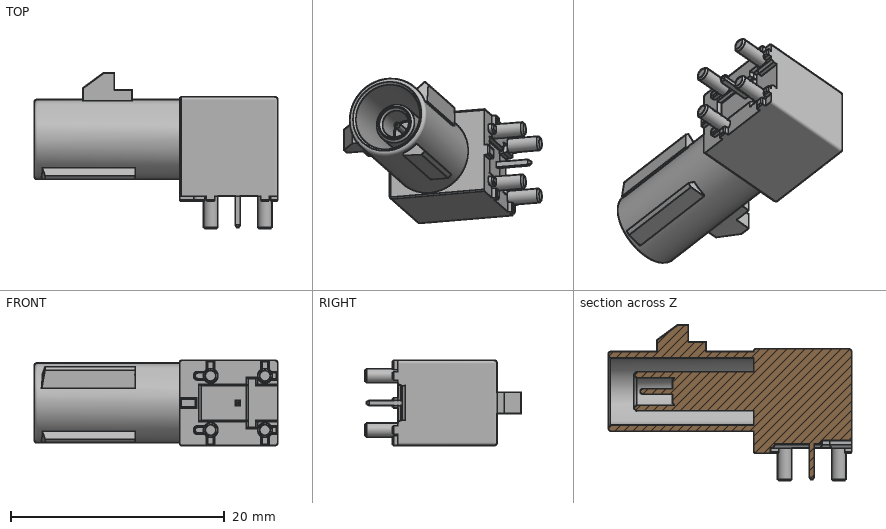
import cadquery as cq
import math


BLOCK_FRONT = 13.6
BLOCK_BACK = 22.8
BLOCK_HALF_HEIGHT = 4.0
BLOCK_TOP = 4.0
BOARD_FACE = -5.3
BLOCK_FILLET = 0.3
BLOCK_CHAMFER = 0.15

BARREL_RADIUS = 3.75
BORE_RADIUS = 3.13
MOUTH_FILLET = 0.3
MOUTH_CHAMFER = 0.22

TUBE_TIP = 2.4
TUBE_RADIUS = 1.85
TUBE_OUTER_CHAMFER = 0.25
TUBE_INNER_RADIUS = 1.28
TUBE_LEAD_IN_DEPTH = 0.28
TUBE_LEAD_IN_RADIUS = 1.5
INSULATOR_TIP = 6.0
INSULATOR_CHAMFER = 0.2
CONTACT_TIP = 3.0
CONTACT_RADIUS = 0.27
CONTACT_CHAMFER = 0.17

LATCH_WIDTH = 2.0
LATCH_FRONT = 4.55
LATCH_BACK = 9.17
LATCH_RIDGE_FRONT = 6.5
LATCH_RIDGE_BACK = 7.5
LATCH_FRONT_HEIGHT = 4.8
LATCH_STEP_HEIGHT = 4.65
LATCH_TIP = 6.23

KEY_FRONT = 0.76
KEY_BACK = 9.45
KEY_FRONT_SLOPE = 0.25
KEY_FLAT = 3.7
KEY_EDGE = 1.36
KEY_RADIUS = 4.78
KEY_ROOT_RADIUS = 3.4

PIN_PITCH = 5.08
PIN_CENTRE_X = 19.05
PIN_RADIUS = 0.675
PIN_END = -8.37
PIN_CHAMFER = 0.18
SIGNAL_PIN_SIZE = 0.5
SIGNAL_PIN_SHOULDER = -7.98
SIGNAL_PIN_END = -8.25
SIGNAL_PIN_TIP_SIZE = 0.15

RIB_HEIGHT = 0.5
RIB_WIDTH = 0.8
RIB_CHAMFER = 0.14
SLOT_RIB_REACH = 1.6
PAD_LENGTH = 1.6
PAD_WIDTH = 0.97

CHANNEL_FRONT = 15.4
CHANNEL_HALF_WIDTH = 1.77
CROSS_FRONT = 19.83
CROSS_BACK = 20.92
CROSS_HALF_WIDTH = 2.42
RECESS_SLOPE_DEPTH = 0.3
RECESS_SLOPE_X = 0.21
RECESS_SLOPE_Z = 0.15
SHALLOW_DEPTH = 0.4
DEEP_DEPTH = SHALLOW_DEPTH + RECESS_SLOPE_DEPTH

OVERRUN = 1.0


def box(x_range, y_range, z_range):
    """Axis-aligned box between the given coordinate pairs."""
    lows, highs = zip(*(sorted(r) for r in (x_range, y_range, z_range)))
    sizes = [high - low for low, high in zip(lows, highs)]
    return cq.Workplane("XY").box(*sizes, centered=False).translate(lows)


def turned(profile):
    """Solid of revolution about X from (x, radius) points."""
    return cq.Workplane("XY").polyline(profile).close().revolve(360, (0, 0, 0), (1, 0, 0))


def rod(start, end, radius):
    """Cylinder along X."""
    return cq.Workplane("YZ", origin=(start, 0, 0)).circle(radius).extrude(end - start)


def make_block():
    block = box(
        (BLOCK_FRONT, BLOCK_BACK),
        (BOARD_FACE, BLOCK_TOP),
        (-BLOCK_HALF_HEIGHT, BLOCK_HALF_HEIGHT),
    )
    block = block.edges("(>X and (not <Y)) or (|X and >Y)").fillet(BLOCK_FILLET)
    return block.faces("<X").edges("not <Y").chamfer(BLOCK_CHAMFER)


def make_barrel():
    barrel = rod(0, BLOCK_FRONT, BARREL_RADIUS)
    barrel = barrel.faces("<X").edges().fillet(MOUTH_FILLET)
    bore = turned([
        (0, 0),
        (0, BORE_RADIUS + MOUTH_CHAMFER),
        (MOUTH_CHAMFER, BORE_RADIUS),
        (BLOCK_FRONT, BORE_RADIUS),
        (BLOCK_FRONT, 0),
    ])
    return barrel.cut(bore)


def make_contacts():
    tube = rod(TUBE_TIP, BLOCK_FRONT, TUBE_RADIUS)
    tube = tube.faces("<X").edges().chamfer(TUBE_OUTER_CHAMFER)
    hole = turned([
        (TUBE_TIP, 0),
        (TUBE_TIP, TUBE_LEAD_IN_RADIUS),
        (TUBE_TIP + TUBE_LEAD_IN_DEPTH, TUBE_INNER_RADIUS),
        (BLOCK_FRONT, TUBE_INNER_RADIUS),
        (BLOCK_FRONT, 0),
    ])
    insulator = rod(INSULATOR_TIP, BLOCK_FRONT, TUBE_INNER_RADIUS)
    insulator = insulator.faces("<X").edges().chamfer(INSULATOR_CHAMFER)
    contact = rod(CONTACT_TIP, BLOCK_FRONT, CONTACT_RADIUS)
    contact = contact.faces("<X").edges().chamfer(CONTACT_CHAMFER)
    return tube.cut(hole).union(insulator).union(contact)


def make_latch():
    root = (BORE_RADIUS + BARREL_RADIUS) / 2
    profile = [
        (LATCH_FRONT, root),
        (LATCH_FRONT, LATCH_FRONT_HEIGHT),
        (LATCH_RIDGE_FRONT, LATCH_TIP),
        (LATCH_RIDGE_BACK, LATCH_TIP),
        (LATCH_RIDGE_BACK, LATCH_STEP_HEIGHT),
        (LATCH_BACK, LATCH_STEP_HEIGHT),
        (LATCH_BACK, root),
    ]
    return cq.Workplane("XY").polyline(profile).close().extrude(LATCH_WIDTH / 2, both=True)


def make_key():
    """Key on the 45 degree radius between -Y and +Z, with a sloping front end."""
    tip = KEY_RADIUS / math.sqrt(2)
    root = KEY_ROOT_RADIUS / math.sqrt(2)
    edge_root = math.sqrt(KEY_ROOT_RADIUS**2 - KEY_EDGE**2)
    section = [
        (-root, root),
        (-tip, tip),
        (-KEY_FLAT, 2 * tip - KEY_FLAT),
        (-KEY_FLAT, KEY_EDGE),
        (-edge_root, KEY_EDGE),
    ]
    bar = cq.Workplane("YZ").polyline(section).close().extrude(KEY_BACK)

    inner = BORE_RADIUS - OVERRUN
    outer = KEY_RADIUS + OVERRUN
    side = [
        (KEY_FRONT + KEY_FRONT_SLOPE * (inner - BARREL_RADIUS), -inner),
        (KEY_FRONT + KEY_FRONT_SLOPE * (outer - BARREL_RADIUS), -outer),
        (KEY_BACK, -outer),
        (KEY_BACK, -inner),
    ]
    envelope = cq.Workplane("XY").polyline(side).close().extrude(KEY_RADIUS, both=True)
    return bar.intersect(envelope.rotate((0, 0, 0), (1, 0, 0), -45))


def tapered_pocket(x_range, half_width, depth, open_back):
    """Rectangular pocket in the board face whose walls slope in below the mouth."""
    front, back = x_range
    inner_front = front + RECESS_SLOPE_X
    inner_back = back if open_back else back - RECESS_SLOPE_X
    inner_half = half_width - RECESS_SLOPE_Z
    slope_end = BOARD_FACE + RECESS_SLOPE_DEPTH

    def rectangle(x_low, x_high, half, y):
        corners = [(x_low, y, -half), (x_high, y, -half), (x_high, y, half), (x_low, y, half)]
        return cq.Wire.makePolygon([cq.Vector(*c) for c in corners], close=True)

    mouth = rectangle(front, back, half_width, BOARD_FACE)
    throat = rectangle(inner_front, inner_back, inner_half, slope_end)
    slope = cq.Workplane(obj=cq.Solid.makeLoft([mouth, throat], True))
    floor = box((inner_front, inner_back), (slope_end, BOARD_FACE + depth), (-inner_half, inner_half))
    return slope.union(floor)


def make_recess():
    past_back = BLOCK_BACK + OVERRUN
    channel = tapered_pocket((CHANNEL_FRONT, past_back), CHANNEL_HALF_WIDTH, SHALLOW_DEPTH, True)
    cross = tapered_pocket((CROSS_FRONT, CROSS_BACK), CROSS_HALF_WIDTH, DEEP_DEPTH, False)

    shallow_floor = BOARD_FACE + SHALLOW_DEPTH
    deep_floor = BOARD_FACE + DEEP_DEPTH
    step = [
        (CROSS_FRONT, shallow_floor),
        (CROSS_FRONT + RECESS_SLOPE_X, deep_floor),
        (past_back, deep_floor),
        (past_back, shallow_floor),
    ]
    deep_half_width = CHANNEL_HALF_WIDTH - RECESS_SLOPE_Z
    deep_end = cq.Workplane("XY").polyline(step).close().extrude(deep_half_width, both=True)
    return channel.union(cross).union(deep_end)


def make_rib(x_range, z_range):
    """Low rib on the board face with a chamfered top."""
    rib = box(x_range, (BOARD_FACE, BOARD_FACE - RIB_HEIGHT), z_range)
    return rib.faces("<Y").chamfer(RIB_CHAMFER)


def make_slot_rib(pin_x, pin_z):
    """Rib running from a pin toward the barrel, with a round end."""
    round_x = pin_x - SLOT_RIB_REACH + RIB_WIDTH / 2
    plane = cq.Workplane("XZ", origin=((round_x + pin_x) / 2, BOARD_FACE, pin_z))
    rib = plane.slot2D(pin_x - round_x + RIB_WIDTH, RIB_WIDTH).extrude(RIB_HEIGHT)
    return rib.faces("<Y").chamfer(RIB_CHAMFER)


def make_ground_pin(x, z):
    root = BOARD_FACE + DEEP_DEPTH
    pin = cq.Workplane("XZ", origin=(x, root, z)).circle(PIN_RADIUS).extrude(root - PIN_END)
    return pin.faces("<Y").chamfer(PIN_CHAMFER)


def make_signal_pin():
    root = BOARD_FACE + DEEP_DEPTH
    plane = cq.Workplane("XZ", origin=(PIN_CENTRE_X, root, 0))
    shaft = plane.rect(SIGNAL_PIN_SIZE, SIGNAL_PIN_SIZE).extrude(root - SIGNAL_PIN_SHOULDER)
    tip = (
        cq.Workplane("XZ", origin=(PIN_CENTRE_X, SIGNAL_PIN_SHOULDER, 0))
        .rect(SIGNAL_PIN_SIZE, SIGNAL_PIN_SIZE)
        .workplane(offset=SIGNAL_PIN_SHOULDER - SIGNAL_PIN_END)
        .rect(SIGNAL_PIN_TIP_SIZE, SIGNAL_PIN_TIP_SIZE)
        .loft(ruled=True)
    )
    return shaft.union(tip)


def make_board_features():
    """Pins and standoff ribs on the board face."""
    features = make_signal_pin()
    features = features.union(
        make_rib((BLOCK_FRONT, BLOCK_FRONT + PAD_LENGTH), (-PAD_WIDTH / 2, PAD_WIDTH / 2))
    )
    front_pin_x = PIN_CENTRE_X - PIN_PITCH / 2
    back_pin_x = PIN_CENTRE_X + PIN_PITCH / 2
    half_rib = RIB_WIDTH / 2
    for side in (-1, 1):
        pin_z = side * PIN_PITCH / 2
        for pin_x in (front_pin_x, back_pin_x):
            features = features.union(make_ground_pin(pin_x, pin_z))
            side_rib = make_rib((pin_x - half_rib, pin_x + half_rib), (pin_z, side * BLOCK_HALF_HEIGHT))
            features = features.union(side_rib)
        features = features.union(make_slot_rib(front_pin_x, pin_z))
        back_rib = make_rib((back_pin_x, BLOCK_BACK), (pin_z - half_rib, pin_z + half_rib))
        features = features.union(back_rib)
    return features


key = make_key()
second_key = key.rotate((0, 0, 0), (1, 0, 0), 90)

result = make_block().cut(make_recess())
for feature in (make_barrel(), make_contacts(), make_latch(), key, second_key, make_board_features()):
    result = result.union(feature)